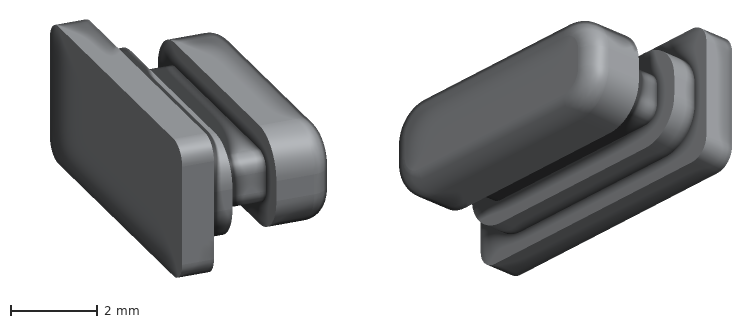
import cadquery as cq

plate_length = 7.8
plate_height = 3.5
plate_thickness = 0.8
plate_corner_radius = 0.5

plug_length = 7.0
plug_height = 2.5
plug_corner_radius = 1.0
collar_thickness = 0.64
neck_width = 1.11
total_depth = 4.0
head_edge_radius = 0.5

neck_inset = 0.6
neck_length = plug_length - 2 * neck_inset
neck_height = plug_height - 2 * neck_inset
neck_corner_radius = plug_corner_radius - neck_inset

collar_start = plate_thickness
neck_start = collar_start + collar_thickness
head_start = neck_start + neck_width
head_thickness = total_depth - head_start


def rounded_slab(length, height, corner_radius, start, thickness):
    """Slab centred in X and Z, with rounded corners, running along +Y."""
    return (
        cq.Workplane("XY")
        .box(length, thickness, height, centered=(True, False, True))
        .edges("|Y")
        .fillet(corner_radius)
        .translate((0, start, 0))
    )


plate = rounded_slab(plate_length, plate_height, plate_corner_radius, 0, plate_thickness)
collar = rounded_slab(plug_length, plug_height, plug_corner_radius, collar_start, collar_thickness)
neck = rounded_slab(neck_length, neck_height, neck_corner_radius, neck_start, neck_width)
head = rounded_slab(plug_length, plug_height, plug_corner_radius, head_start, head_thickness)
head = head.faces(">Y").edges().fillet(head_edge_radius)

result = plate.union(collar).union(neck).union(head)